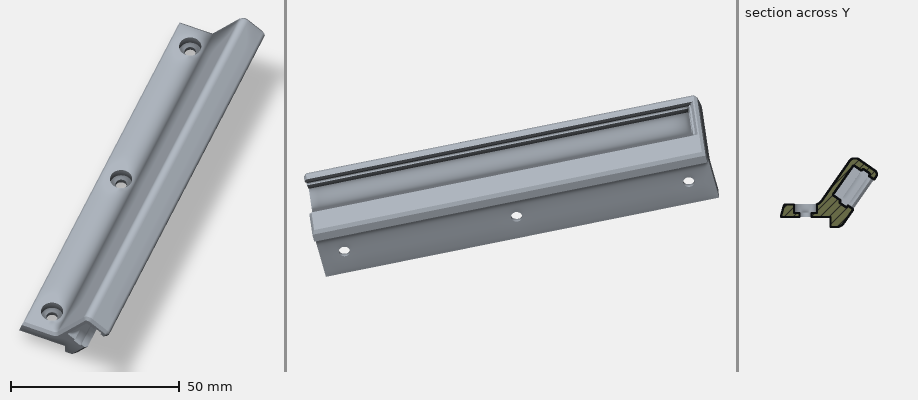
import cadquery as cq
import math

length = 120.0
half_length = length / 2
end_chamfer = 0.8

flange_bottom = 2.9
flange_top = 6.8
flange_lean = 1.1
flange_edge_chamfer = 0.4
lip_start = 14.8
lip_bevel = 0.7

arm_angle = 55.0
arm_root_x = 11.5
arm_length = 17.6
arm_thickness = 9.2
root_radius = 2.0
tip_front_radius = 2.0
tip_back_radius = 1.3

slot_start = 4.5
slot_end = 15.2
undercut = 0.7
slot_floor = 1.8
undercut_floor = 4.7
undercut_top = 7.2
end_wall = 2.2
end_wall_step = 0.7
slot_end_chamfer = 0.8

hole_x = 7.5
hole_pitch = 52.5
hole_diameter = 3.4
counterbore_diameter = 6.6
counterbore_depth = 2.6

cos_arm = math.cos(math.radians(arm_angle))
sin_arm = math.sin(math.radians(arm_angle))


def arm_point(along, depth):
    """Section point: distance along the arm and depth behind its front face."""
    x = arm_root_x + along * cos_arm + depth * sin_arm
    z = flange_top + along * sin_arm - depth * cos_arm
    return (x, z)


back_root = arm_point(0, arm_thickness)
lip_back_x = back_root[0] - back_root[1] * cos_arm / sin_arm


def extrude_section(points, start_y, end_y):
    section = cq.Workplane("XZ", origin=(0, start_y, 0)).polyline(points).close()
    return section.extrude(start_y - end_y)


def round_long_edge(body, point, radius):
    edge = cq.selectors.NearestToPointSelector((point[0], 0, point[1]))
    return body.edges("|Y").edges(edge).fillet(radius)


def make_body():
    tip_front = arm_point(arm_length, 0)
    tip_back = arm_point(arm_length, arm_thickness)
    arm_root = arm_point(0, 0)
    outline = [
        (0, flange_bottom),
        (flange_lean, flange_top),
        arm_root,
        tip_front,
        tip_back,
        (lip_back_x, 0),
        (lip_start, 0),
        (lip_start, flange_bottom),
    ]
    body = extrude_section(outline, -half_length, half_length)
    body = round_long_edge(body, arm_root, root_radius)
    body = round_long_edge(body, tip_front, tip_front_radius)
    return round_long_edge(body, tip_back, tip_back_radius)


def chamfer_ends(body):
    """Bevel both ends along the flange top and round the arm to the lip."""
    flange_middle = (arm_root_x + flange_lean) / 2
    for y in (-half_length, half_length):
        start_edge = cq.selectors.NearestToPointSelector((flange_middle, y, flange_top))
        tangent_chain = body.edges(start_edge)
        body = tangent_chain.chamfer(end_chamfer)
    return body


def bevel_long_edge(body, point, size):
    edge = cq.selectors.NearestToPointSelector((point[0], 0, point[1]))
    return body.edges("|Y").edges(edge).chamfer(size)


def slot_layer(along_start, along_end, depth_start, depth_end, wall):
    corners = [
        arm_point(along_start, depth_start),
        arm_point(along_end, depth_start),
        arm_point(along_end, depth_end),
        arm_point(along_start, depth_end),
    ]
    return extrude_section(corners, -half_length, half_length - wall)


def make_slot():
    """T-shaped slot, open at the -Y end and through the back of the arm.

    The wall closing its +Y end steps inward towards the slot floor.
    """
    groove_wall = end_wall + end_wall_step
    floor_wall = groove_wall + end_wall_step
    groove_start = slot_start - undercut
    groove_end = slot_end + undercut
    floor = slot_layer(slot_start, slot_end, slot_floor, undercut_floor, floor_wall)
    groove = slot_layer(groove_start, groove_end, undercut_floor, undercut_top, groove_wall)
    mouth = slot_layer(slot_start, slot_end, undercut_top, arm_thickness, end_wall)
    return floor.union(groove).union(mouth)


def chamfer_slot_end(body):
    """Bevel the edge where the closed slot end meets the back of the arm."""
    x, z = arm_point((slot_start + slot_end) / 2, arm_thickness)
    edge = cq.selectors.NearestToPointSelector((x, half_length - end_wall, z))
    return body.edges(edge).chamfer(slot_end_chamfer)


def make_screw_hole(y):
    bore = cq.Workplane("XY").center(hole_x, y).circle(hole_diameter / 2).extrude(flange_top)
    seat = cq.Workplane("XY", origin=(hole_x, y, flange_top - counterbore_depth))
    return bore.union(seat.circle(counterbore_diameter / 2).extrude(2 * counterbore_depth))


result = chamfer_ends(make_body())
result = bevel_long_edge(result, (flange_lean, flange_top), flange_edge_chamfer)
result = bevel_long_edge(result, (lip_back_x, 0), lip_bevel)
result = chamfer_slot_end(result.cut(make_slot()))
for step in (-1, 0, 1):
    result = result.cut(make_screw_hole(step * hole_pitch))